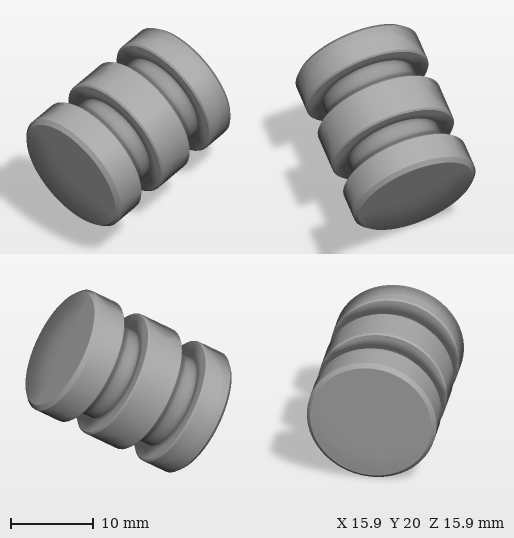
import cadquery as cq

length = 20.0
collar_diameter = 15.9
groove_diameter = 11.8
back_collar_width = 4.0
middle_collar_width = 5.0
groove_width = 3.4
end_chamfer = 0.5
groove_edge_chamfer = 0.2

front_collar_width = length - back_collar_width - middle_collar_width - 2 * groove_width

front_y = -length / 2
middle_y = front_y + front_collar_width + groove_width
back_y = middle_y + middle_collar_width + groove_width


def cylinder_along_y(start_y, width, diameter):
    """Solid cylinder on the Y axis from start_y towards +Y."""
    base = cq.Workplane("XZ", origin=(0, start_y, 0))
    return base.circle(diameter / 2).extrude(-width)


def collar(start_y, width, front_chamfer, back_chamfer):
    """Full-diameter collar with its own chamfer on each rim."""
    body = cylinder_along_y(start_y, width, collar_diameter)
    body = body.faces("<Y").edges().chamfer(front_chamfer)
    return body.faces(">Y").edges().chamfer(back_chamfer)


core = cylinder_along_y(
    front_y + end_chamfer, length - 2 * end_chamfer, groove_diameter
)
front_collar = collar(front_y, front_collar_width, end_chamfer, groove_edge_chamfer)
middle_collar = collar(
    middle_y, middle_collar_width, groove_edge_chamfer, groove_edge_chamfer
)
back_collar = collar(back_y, back_collar_width, groove_edge_chamfer, end_chamfer)

result = core.union(front_collar).union(middle_collar).union(back_collar)